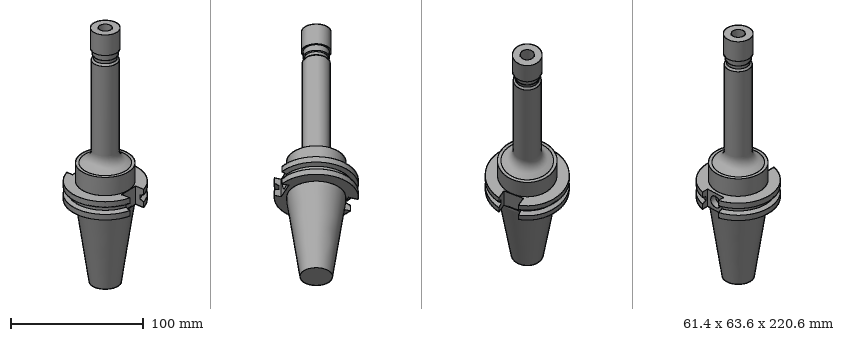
import cadquery as cq
import math

total_height = 220.6
gauge_height = 68.5
flange_bottom = 71.5
flange_height = 15.9
flange_top = flange_bottom + flange_height
hub_top = flange_top + 15.9
collar_height = 5.0
cap_height = 17.9
cap_bottom = total_height - cap_height
collar_bottom = cap_bottom - collar_height
shaft_top = 192.8

taper_radius = 22.3
taper_ratio = 7 / 24
taper_end_radius = taper_radius - gauge_height * taper_ratio / 2
flange_radius = 31.8
hub_radius = 22.5
shaft_radius = 10.5
cap_radius = 11.3
collar_radius = 10.0
neck_radius = 9.0

groove_radius = 28.2
groove_lip = 4.9
groove_slant = 1.5

blend_radius = 10.0
cone_angle = math.radians(30)
cone_radius = 19.9

notch_width = 16.5
left_notch_floor = 25.2
right_notch_floor = 22.7
notch_hole_diameter = 10.0
notch_hole_depth = 5.5

bore_diameter = 10.5
bore_depth = cap_height

collar_chamfer = 0.7
shaft_chamfer = shaft_radius - neck_radius


def turned_body():
    blend_turn = math.pi / 2 - cone_angle
    blend_end_radius = shaft_radius + blend_radius * (1 - math.cos(blend_turn))
    blend_bottom = hub_top + (cone_radius - blend_end_radius) * math.tan(cone_angle)
    blend_top = blend_bottom + blend_radius * math.sin(blend_turn)
    blend_middle = (
        shaft_radius + blend_radius * (1 - math.cos(blend_turn / 2)),
        blend_top - blend_radius * math.sin(blend_turn / 2),
    )
    groove_bottom = flange_bottom + groove_lip
    groove_top = flange_top - groove_lip

    profile = (
        cq.Workplane("XZ")
        .lineTo(taper_end_radius, 0)
        .lineTo(taper_radius, gauge_height)
        .lineTo(taper_radius, flange_bottom)
        .lineTo(flange_radius, flange_bottom)
        .lineTo(flange_radius, groove_bottom)
        .lineTo(groove_radius, groove_bottom + groove_slant)
        .lineTo(groove_radius, groove_top - groove_slant)
        .lineTo(flange_radius, groove_top)
        .lineTo(flange_radius, flange_top)
        .lineTo(hub_radius, flange_top)
        .lineTo(hub_radius, hub_top)
        .lineTo(cone_radius, hub_top)
        .lineTo(blend_end_radius, blend_bottom)
        .threePointArc(blend_middle, (shaft_radius, blend_top))
        .lineTo(shaft_radius, shaft_top)
        .lineTo(neck_radius, shaft_top + shaft_chamfer)
        .lineTo(neck_radius, collar_bottom - collar_chamfer)
        .lineTo(collar_radius, collar_bottom)
        .lineTo(collar_radius, cap_bottom)
        .lineTo(cap_radius, cap_bottom)
        .lineTo(cap_radius, total_height)
        .lineTo(0, total_height)
        .close()
    )
    return profile.revolve(360, (0, 0, 0), (0, 1, 0))


def drive_notch(side, floor):
    """Slot through the flange height on the given X side (-1 or 1)."""
    return (
        cq.Workplane("XY", origin=(side * (floor + flange_radius / 2), 0, flange_bottom))
        .rect(flange_radius, notch_width)
        .extrude(flange_height)
    )


def notch_hole():
    """Blind hole in the floor of the left notch."""
    hole_height = flange_bottom + flange_height / 2
    return (
        cq.Workplane("YZ", origin=(-left_notch_floor, 0, hole_height))
        .circle(notch_hole_diameter / 2)
        .extrude(notch_hole_depth)
    )


def top_bore():
    return (
        cq.Workplane("XY", origin=(0, 0, total_height - bore_depth))
        .circle(bore_diameter / 2)
        .extrude(bore_depth)
    )


result = (
    turned_body()
    .cut(drive_notch(-1, left_notch_floor))
    .cut(drive_notch(1, right_notch_floor))
    .cut(notch_hole())
    .cut(top_bore())
)